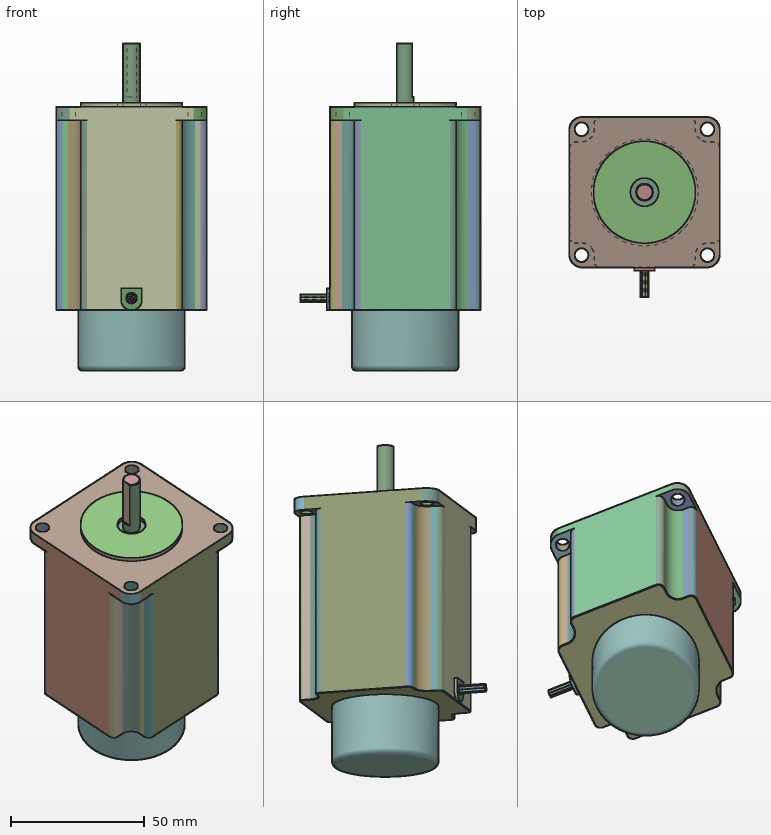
import cadquery as cq
import math

shaft_top = 122.6
cap_height = 22.7
flange_top = 98.7
flange_thickness = 5.0
pilot_height = 1.6
flange_bottom = flange_top - flange_thickness
pilot_top = flange_top + pilot_height

width = 56.4
half_width = width / 2
flange_corner_radius = 5.0
hole_spacing = 47.1
hole_diameter = 5.0
corner_cut = 9.2
cut_inner_radius = 4.7
cut_outer_radius = 2.3
bottom_chamfer = 0.2

cap_diameter = 40.0
cap_fillet = 1.8
pilot_diameter = 38.1
recess_diameter = 10.5
recess_depth = 1.3
shaft_diameter = 6.4
shaft_chamfer = 0.2
shaft_flat_depth = 0.5
shaft_flat_start = 102.5

outlet_width = 7.8
outlet_top = 30.9
outlet_thickness = 1.2
cable_z = 27.2
cable_hole_diameter = 4.0
wire_diameter = 1.0
wire_pitch = 1.04
outer_wire_count = 6
wire_ring_angle = 45.0
wire_end_y = half_width - 67.4


def cylinder(diameter, bottom, top):
    return cq.Workplane("XY").workplane(offset=bottom).circle(diameter / 2).extrude(top - bottom)


def square_block(bottom, top):
    return cq.Workplane("XY").workplane(offset=bottom).rect(width, width).extrude(top - bottom)


class OuterEdges(cq.Selector):
    """Sharp vertical edges lying on the outer faces of the body."""

    def filter(self, edges):
        chosen = []
        for edge in edges:
            center = edge.Center()
            reach = max(abs(center.x), abs(center.y))
            spread = min(abs(center.x), abs(center.y))
            vertical = abs(edge.tangentAt(0).z) > 0.9
            if vertical and reach > half_width - 0.01 and spread > 0:
                chosen.append(edge)
        return chosen


def make_body():
    """Square body with a rounded rectangular step along each corner."""
    step_wall = half_width - corner_cut
    section = (
        cq.Sketch()
        .rect(width, 2 * step_wall)
        .rect(2 * step_wall, width)
        .clean()
    )
    body = cq.Workplane("XY").workplane(offset=cap_height).placeSketch(section)
    body = body.extrude(flange_bottom - cap_height)
    inner = cq.selectors.BoxSelector(
        (-step_wall - 1.2, -step_wall - 1.2, 0), (step_wall + 1.2, step_wall + 1.2, shaft_top)
    )
    body = body.edges("|Z").edges(inner).fillet(cut_inner_radius)
    body = body.edges(OuterEdges()).fillet(cut_outer_radius)
    return body.faces("<Z").chamfer(bottom_chamfer)


def make_flange():
    flange = square_block(flange_bottom, flange_top).edges("|Z").fillet(flange_corner_radius)
    holes = (
        cq.Workplane("XY")
        .workplane(offset=flange_bottom)
        .rect(hole_spacing, hole_spacing, forConstruction=True)
        .vertices()
        .circle(hole_diameter / 2)
        .extrude(flange_thickness)
    )
    pilot = cylinder(pilot_diameter, flange_top, pilot_top)
    recess = cylinder(recess_diameter, pilot_top - recess_depth, pilot_top)
    return flange.cut(holes).union(pilot).cut(recess)


def make_shaft():
    """Output shaft with a flat on its +Y side."""
    shaft = cylinder(shaft_diameter, flange_top, shaft_top).faces(">Z").chamfer(shaft_chamfer)
    flat = (
        cq.Workplane("XY")
        .workplane(offset=shaft_flat_start)
        .center(0, shaft_diameter - shaft_flat_depth)
        .rect(shaft_diameter, shaft_diameter)
        .extrude(shaft_top - shaft_flat_start)
    )
    return shaft.cut(flat)


def make_outlet():
    """Round-bottomed plate, level with the body bottom, with a cable opening."""
    radius = outlet_width / 2
    arc_z = cap_height + radius
    plate = (
        cq.Workplane("XZ", origin=(0, -half_width, 0))
        .moveTo(-radius, outlet_top)
        .lineTo(-radius, arc_z)
        .threePointArc((0, cap_height), (radius, arc_z))
        .lineTo(radius, outlet_top)
        .close()
        .extrude(outlet_thickness)
    )
    opening = (
        cq.Workplane("XZ", origin=(0, -half_width, cable_z))
        .circle(cable_hole_diameter / 2)
        .extrude(outlet_thickness)
    )
    return plate.cut(opening)


def make_wires():
    """One central wire surrounded by a ring of wires."""
    centers = [(0, 0)]
    for index in range(outer_wire_count):
        angle = math.radians(wire_ring_angle) + index * math.tau / outer_wire_count
        centers.append((wire_pitch * math.cos(angle), wire_pitch * math.sin(angle)))
    length = -half_width - wire_end_y
    wires = cq.Workplane("XZ", origin=(0, -half_width, cable_z))
    return wires.pushPoints(centers).circle(wire_diameter / 2).extrude(length)


cap = cylinder(cap_diameter, 0, cap_height).faces("<Z").edges().fillet(cap_fillet)

result = (
    cap.union(make_body())
    .union(make_flange())
    .union(make_shaft())
    .union(make_outlet())
    .union(make_wires())
)